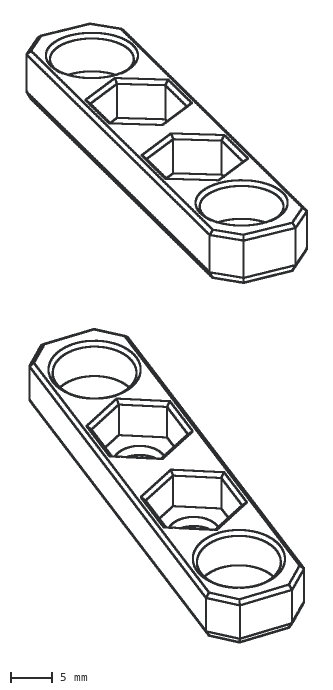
import cadquery as cq
import math

length = 55.0
width = 13.0
height = 6.6
corner_cut = 3.0

edge_inset = 0.5
top_bevel_height = 0.5
bottom_bevel_height = 1.0

round_pocket_diameter = 10.0
round_pocket_spacing = 40.0
round_pocket_depth = 5.0

hex_across_flats = 10.0
hex_spacing = 15.0
hex_pocket_depth = 5.15
through_diameter = 6.3

mouth_bevel = 0.5


def octagon_outline(inset, z):
    """Corner-cut rectangle, moved inwards by inset on all eight sides."""
    half_x = length / 2 - inset
    half_y = width / 2 - inset
    cut = corner_cut - inset * (2 - math.sqrt(2))
    corner = [(half_x, half_y - cut), (half_x - cut, half_y)]
    upper = corner + [(-x, y) for x, y in reversed(corner)]
    lower = [(-x, -y) for x, y in upper]
    return cq.Workplane("XY").workplane(offset=z).polyline(upper + lower).close()


def bevel_layer(bottom_inset, top_inset, z, layer_height):
    """Tapered octagonal layer between two insets."""
    lower = octagon_outline(bottom_inset, z).wire().val()
    upper = octagon_outline(top_inset, z + layer_height).wire().val()
    return cq.Workplane(cq.Solid.makeLoft([lower, upper], True))


def bar():
    wall_height = height - bottom_bevel_height - top_bevel_height
    wall = octagon_outline(0, bottom_bevel_height).extrude(wall_height)
    foot = bevel_layer(edge_inset, 0, 0, bottom_bevel_height)
    crown = bevel_layer(0, edge_inset, height - top_bevel_height, top_bevel_height)
    return wall.union(foot).union(crown)


def round_pocket(x):
    radius = round_pocket_diameter / 2
    floor = height - round_pocket_depth
    profile = [
        (0, floor),
        (radius, floor),
        (radius, height - mouth_bevel),
        (radius + mouth_bevel, height),
        (0, height),
    ]
    pocket = cq.Workplane("XZ").polyline(profile).close().revolve(360, (0, 0), (0, 1))
    return pocket.translate((x, 0, 0))


def hexagon(x, z, across_flats):
    across_corners = across_flats / math.cos(math.pi / 6)
    return cq.Workplane("XY", origin=(x, 0, z)).polygon(6, across_corners)


def hex_pocket(x):
    pocket = hexagon(x, height - hex_pocket_depth, hex_across_flats).extrude(hex_pocket_depth)
    mouth_lower = hexagon(x, height - mouth_bevel, hex_across_flats).val()
    mouth_upper = hexagon(x, height, hex_across_flats + 2 * mouth_bevel).val()
    mouth = cq.Workplane(cq.Solid.makeLoft([mouth_lower, mouth_upper], True))
    hole = cq.Workplane("XY", origin=(x, 0, 0)).circle(through_diameter / 2).extrude(height)
    return pocket.union(mouth).union(hole)


result = bar()
for side in (-1, 1):
    result = result.cut(round_pocket(side * round_pocket_spacing / 2))
    result = result.cut(hex_pocket(side * hex_spacing / 2))